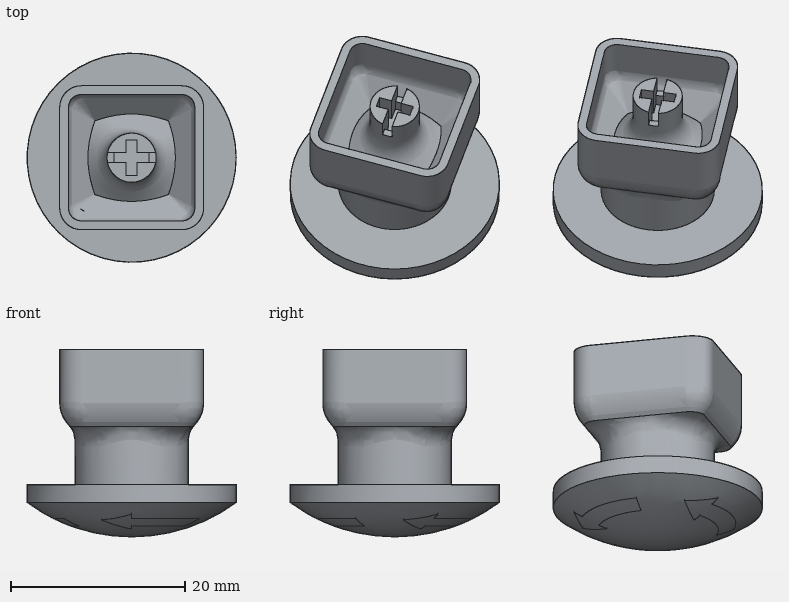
import cadquery as cq
import math

button_diameter = 24.0
dome_height = 3.95
disc_thickness = 2.05
disc_top = dome_height + disc_thickness

arrow_count = 3
arrow_pitch = 360.0 / arrow_count
shaft_inner_radius = 6.95
shaft_outer_radius = 8.95
shaft_angle = 60.0
head_inner_radius = 6.0
head_outer_radius = 9.94
head_length = 3.45

total_height = 21.5
column_diameter = 13.0
column_fillet = 2.35
cup_width = 16.5
cup_corner_radius = 2.5
cup_side_bottom = 14.1
cup_base_width = 14.2
cup_base_corner_radius = 1.68
cup_base = 12.7
cup_bend_radius = 3.5

wall = 1.0
cavity_width = cup_width - 2 * wall
cavity_corner_radius = cup_corner_radius - wall
cavity_floor_width = 8.45
cavity_floor_corner_radius = 0.05
cavity_floor = 13.46
cavity_side_bottom = cavity_floor + (cavity_width - cavity_floor_width) / 2
cavity_bend_radius = cavity_corner_radius

post_diameter = 5.65
post_straight_length = 3.45
flare_radius = 4.0
flare_width = 1.1
foot_middle_radius = 5.02
foot_middle_height = 14.25
foot_radius = 5.98

cross_length = 4.03
cross_x_bar_width = 1.15
cross_y_bar_width = 1.25
cross_depth = 3.6
side_slot_depth = 2.1

select_margin = 0.02


def rounded_square(width, corner_radius, z):
    """Face of a rounded square centred on the axis at height z."""
    square = cq.Sketch().rect(width, width).vertices().fillet(corner_radius)
    return square.moved(cq.Location(cq.Vector(0, 0, z)))


def edges_at_height(z, reach):
    """Selector for the edges that lie flat at height z within reach of the axis."""
    return cq.selectors.BoxSelector(
        (-reach, -reach, z - select_margin),
        (reach, reach, z + select_margin),
        boundingbox=True,
    )


def tapered_box(width, corner_radius, side_bottom, base_width, base_corner_radius, base, bend_radius):
    """Rounded square prism, open to the top, whose sides bend inward to a smaller square base."""
    outline = rounded_square(width, corner_radius, side_bottom)
    base_outline = rounded_square(base_width, base_corner_radius, base)
    taper = cq.Workplane("XY").placeSketch(base_outline, outline).loft(ruled=True)
    prism = cq.Workplane("XY").placeSketch(outline).extrude(total_height - side_bottom)
    bend = edges_at_height(side_bottom, width)
    return taper.union(prism).edges(bend).fillet(bend_radius)


def make_dome():
    """Spherical cap between the disc and the lowest point of the button."""
    radius = button_diameter / 2
    sphere_radius = (radius**2 + dome_height**2) / (2 * dome_height)
    half_angle = math.asin(radius / sphere_radius) / 2
    arc_middle = (
        sphere_radius * math.sin(half_angle),
        sphere_radius * (1 - math.cos(half_angle)),
    )
    return (
        cq.Workplane("XZ")
        .moveTo(0, 0)
        .threePointArc(arc_middle, (radius, dome_height))
        .lineTo(0, dome_height)
        .close()
        .revolve(360, (0, 0, 0), (0, 1, 0))
    )


def ring_point(radius, angle):
    """Point at a radius from the axis, at an angle in degrees from -Y toward +X."""
    return (radius * math.sin(math.radians(angle)), -radius * math.cos(math.radians(angle)))


def make_arrow(index):
    """One arrow: a ring-shaped shaft and a triangular head, flush with the dome."""
    head_tip = (-head_length, -(head_inner_radius + head_outer_radius) / 2)
    prism = (
        cq.Workplane("XY")
        .moveTo(*ring_point(shaft_inner_radius, 0))
        .threePointArc(
            ring_point(shaft_inner_radius, shaft_angle / 2),
            ring_point(shaft_inner_radius, shaft_angle),
        )
        .lineTo(*ring_point(shaft_outer_radius, shaft_angle))
        .threePointArc(
            ring_point(shaft_outer_radius, shaft_angle / 2),
            ring_point(shaft_outer_radius, 0),
        )
        .lineTo(*ring_point(head_outer_radius, 0))
        .lineTo(*head_tip)
        .lineTo(*ring_point(head_inner_radius, 0))
        .close()
        .extrude(dome_height)
        .rotate((0, 0, 0), (0, 0, 1), index * arrow_pitch)
    )
    return make_dome().intersect(prism)


def make_button(arrows):
    """Disc and dome with a recess for each arrow."""
    disc = cq.Workplane("XY", origin=(0, 0, dome_height)).circle(button_diameter / 2).extrude(disc_thickness)
    button = disc.union(make_dome())
    for arrow in arrows:
        button = button.cut(arrow)
    return button


def make_post():
    """Round post with a flare that runs on as a wider curved foot down to the cavity floor."""
    post_radius = post_diameter / 2
    straight_end = total_height - post_straight_length
    flare_angle = math.acos(1 - flare_width / flare_radius)
    flare_end = straight_end - flare_radius * math.sin(flare_angle)
    flare_middle = (
        post_radius + flare_radius * (1 - math.cos(flare_angle / 2)),
        straight_end - flare_radius * math.sin(flare_angle / 2),
    )
    return (
        cq.Workplane("XZ")
        .moveTo(0, total_height)
        .lineTo(post_radius, total_height)
        .lineTo(post_radius, straight_end)
        .threePointArc(flare_middle, (post_radius + flare_width, flare_end))
        .threePointArc((foot_middle_radius, foot_middle_height), (foot_radius, cavity_floor))
        .lineTo(0, cavity_floor)
        .close()
        .revolve(360, (0, 0, 0), (0, 1, 0))
    )


def make_socket():
    """Cross-shaped socket plus the shallower slot through both sides of the post."""
    top = cq.Workplane("XY", origin=(0, 0, total_height))
    x_bar = top.rect(cross_length, cross_x_bar_width).extrude(-cross_depth)
    y_bar = top.rect(cross_y_bar_width, cross_length).extrude(-cross_depth)
    side_slot = top.rect(post_diameter, cross_x_bar_width).extrude(-side_slot_depth)
    return x_bar.union(y_bar).union(side_slot)


def make_cap():
    """Column and cup in one piece, with the socketed post inside the cup."""
    cup = tapered_box(
        cup_width,
        cup_corner_radius,
        cup_side_bottom,
        cup_base_width,
        cup_base_corner_radius,
        cup_base,
        cup_bend_radius,
    )
    column = (
        cq.Workplane("XY", origin=(0, 0, disc_top))
        .circle(column_diameter / 2)
        .extrude(cup_base - disc_top)
    )
    column_rim = edges_at_height(cup_base, column_diameter / 2 + select_margin)
    outside = cup.union(column).edges(column_rim).fillet(column_fillet)
    cavity = tapered_box(
        cavity_width,
        cavity_corner_radius,
        cavity_side_bottom,
        cavity_floor_width,
        cavity_floor_corner_radius,
        cavity_floor,
        cavity_bend_radius,
    )
    return outside.cut(cavity.cut(make_post())).cut(make_socket())


arrows = [make_arrow(index) for index in range(arrow_count)]
button = make_button(arrows)
cap = make_cap()

result = cq.Compound.makeCompound(
    [
        cap.solids().val(),
        button.solids().val(),
        *[arrow.solids().val() for arrow in arrows],
    ]
)